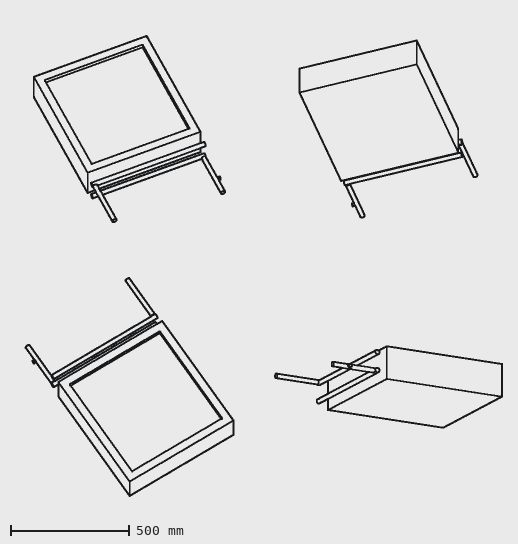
import cadquery as cq

housing_length = 555.0
housing_width = 525.0
housing_height = 145.0
rim_width = 35.0
recess_depth = 20.0

rod_diameter = 20.0
rod_radius = rod_diameter / 2
rod_gap = 35.0
rod_inset = 32.0
arm_length = 200.0

knob_diameter = 14.5
knob_length = 10.0
knob_end_distance = 75.0

cross_rod_x = housing_length + rod_gap + rod_radius
arm_start_x = cross_rod_x + rod_radius
knob_x = arm_start_x + arm_length - knob_end_distance
lower_z = rod_inset
upper_z = housing_height - rod_inset
front_arm_y = rod_radius
back_arm_y = housing_width - rod_radius

x_direction = cq.Vector(1, 0, 0)
y_direction = cq.Vector(0, 1, 0)


def make_housing():
    """Block with an even rim around the recess in its top face."""
    block = cq.Workplane("XY").box(housing_length, housing_width, housing_height, centered=False)
    recess_length = housing_length - 2 * rim_width
    recess_width = housing_width - 2 * rim_width
    top_face = block.faces(">Z").workplane(centerOption="CenterOfMass")
    return top_face.rect(recess_length, recess_width).cutBlind(-recess_depth)


def make_cross_rod(z):
    """Rod along Y, as long as the housing is wide."""
    start = cq.Vector(cross_rod_x, 0, z)
    return cq.Solid.makeCylinder(rod_radius, housing_width, start, y_direction)


def make_arm(y, z):
    """Rod along X whose flat end touches the side of a cross rod."""
    start = cq.Vector(arm_start_x, y, z)
    return cq.Solid.makeCylinder(rod_radius, arm_length, start, x_direction)


def make_knob():
    """Short pin along Y that stands on the outer side of the lower arm."""
    start = cq.Vector(knob_x, housing_width, lower_z)
    return cq.Solid.makeCylinder(knob_diameter / 2, knob_length, start, y_direction)


housing = make_housing()
cross_rods = [make_cross_rod(z) for z in (lower_z, upper_z)]

arm_places = [(back_arm_y, lower_z), (front_arm_y, upper_z)]
arms = [make_arm(y, z) for y, z in arm_places]
knob = make_knob()

result = cq.Compound.makeCompound([housing.val(), *cross_rods, *arms, knob])